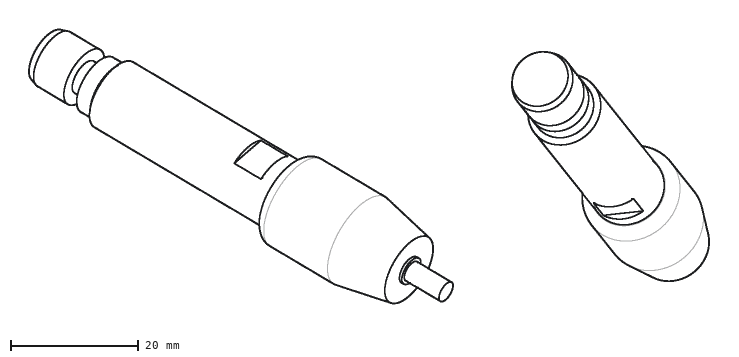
import cadquery as cq

total_length = 81.4
groove_start = 7.5
groove_end = 10.1
collar_end = 12.9
body_start = 48.9
taper_start = 63.8
taper_end = 73.9
pin_shoulder_end = 74.35

head_diameter = 10.0
groove_diameter = 5.9
shank_diameter = 12.0
body_diameter = 16.0
nose_diameter = 12.0
pin_shoulder_diameter = 4.7
pin_diameter = 3.5

head_chamfer_length = 1.3
head_chamfer_depth = 0.4
shank_chamfer_length = 0.65
body_fillet = 1.9

flat_start = 40.9
flat_end = 46.3
across_flats = 10.0


def cylinder(start, end, diameter):
    """Solid cylinder on the X axis between two stations."""
    return cq.Workplane("YZ", origin=(start, 0, 0)).circle(diameter / 2).extrude(end - start)


def frustum(start, end, start_diameter, end_diameter):
    """Solid cone section on the X axis between two stations."""
    profile = [(start, 0), (start, start_diameter / 2), (end, end_diameter / 2), (end, 0)]
    return cq.Workplane("XY").polyline(profile).close().revolve(360, (0, 0), (1, 0))


head_tip = frustum(0, head_chamfer_length, head_diameter - 2 * head_chamfer_depth, head_diameter)
head = head_tip.union(cylinder(head_chamfer_length, groove_start, head_diameter))
groove = cylinder(groove_start, groove_end, groove_diameter)
collar = cylinder(groove_end, collar_end, head_diameter)

shoulder_end = collar_end + shank_chamfer_length
shoulder = frustum(collar_end, shoulder_end, head_diameter, shank_diameter)
shank = shoulder.union(cylinder(shoulder_end, body_start, shank_diameter))
for side in (1, -1):
    flat_cut = cq.Workplane("XY").box(
        flat_end - flat_start, shank_diameter, shank_diameter
    ).translate(((flat_start + flat_end) / 2, 0, side * (across_flats + shank_diameter) / 2))
    shank = shank.cut(flat_cut)

body = cylinder(body_start, taper_start, body_diameter).faces("<X").edges().fillet(body_fillet)
nose = frustum(taper_start, taper_end, body_diameter, nose_diameter)

pin_shoulder = cylinder(taper_end, pin_shoulder_end, pin_shoulder_diameter)
pin = cylinder(pin_shoulder_end, total_length, pin_diameter)

result = head
for section in (groove, collar, shank, body, nose, pin_shoulder, pin):
    result = result.union(section)